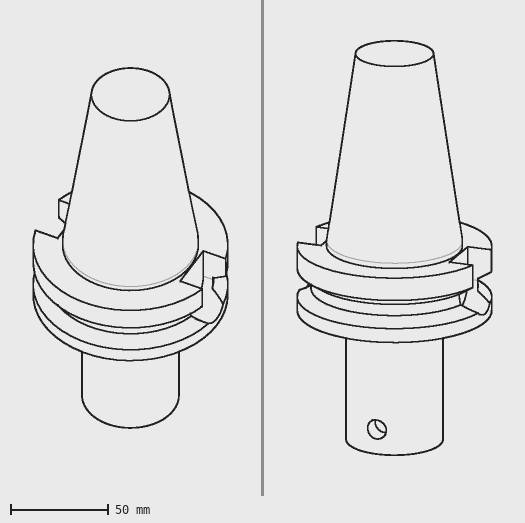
import cadquery as cq

total_height = 209.8
nose_top = 65.0
flange_bottom = 70.0
groove_lower_edge = 77.6
groove_floor_bottom = 82.2
groove_floor_top = 88.3
groove_upper_edge = 93.0
flange_top = 105.1
taper_start = 108.0

nose_diameter = 50.0
flange_diameter = 100.0
groove_diameter = 85.8
taper_large_diameter = 69.9
taper_ratio = 7 / 24

slot_width = 25.8
slot_floor_offset = 35.5
slot_bottom = 74.7

side_hole_diameter = 10.3
side_hole_height = 13.5
side_hole_depth = 11.0

nose_radius = nose_diameter / 2
flange_radius = flange_diameter / 2
groove_radius = groove_diameter / 2
taper_large_radius = taper_large_diameter / 2
taper_small_radius = taper_large_radius - taper_ratio * (total_height - taper_start) / 2
flare_radius = nose_radius + flange_bottom - nose_top


def turned_body():
    """Nose, grooved flange and tapered shank, revolved about Z."""
    half_profile = [
        (0, 0),
        (nose_radius, 0),
        (nose_radius, nose_top),
        (flare_radius, flange_bottom),
        (flange_radius, flange_bottom),
        (flange_radius, groove_lower_edge),
        (groove_radius, groove_floor_bottom),
        (groove_radius, groove_floor_top),
        (flange_radius, groove_upper_edge),
        (flange_radius, flange_top),
        (taper_large_radius, flange_top),
        (taper_large_radius, taper_start),
        (taper_small_radius, total_height),
        (0, total_height),
    ]
    return cq.Workplane("XZ").polyline(half_profile).close().revolve(360, (0, 0), (0, 1))


def drive_slot(side):
    """Round-bottomed slot cutter running outward along X; side is -1 or +1."""
    half_width = slot_width / 2
    arc_center_height = slot_bottom + half_width
    return (
        cq.Workplane("YZ", origin=(side * slot_floor_offset, 0, 0))
        .moveTo(-half_width, flange_top)
        .lineTo(-half_width, arc_center_height)
        .threePointArc((0, slot_bottom), (half_width, arc_center_height))
        .lineTo(half_width, flange_top)
        .close()
        .extrude(side * flange_radius)
    )


def side_hole():
    """Blind radial hole cutter entering the nose from +Y."""
    return (
        cq.Workplane("XZ", origin=(0, nose_radius, side_hole_height))
        .circle(side_hole_diameter / 2)
        .extrude(side_hole_depth)
    )


result = turned_body()
for side in (-1, 1):
    result = result.cut(drive_slot(side))
result = result.cut(side_hole())